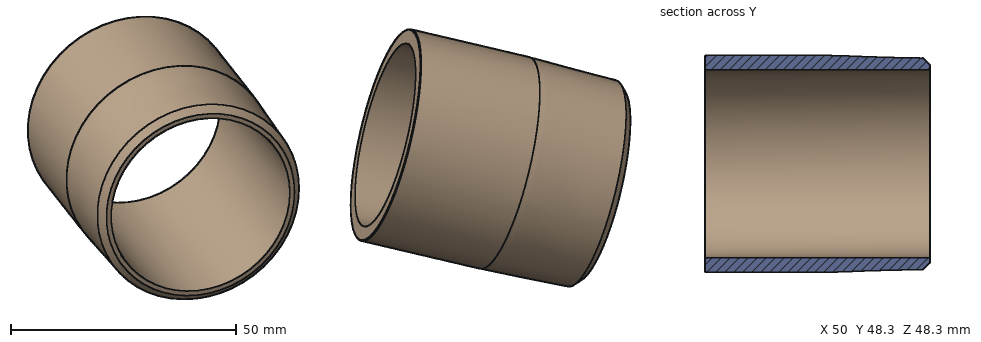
import cadquery as cq

length = 50.0
outer_diameter = 48.3
bore_diameter = 41.7
edge_break = 0.2

plain_length = 28.0
band_length = 1.4
band_diameter = 48.2
taper_end_diameter = 47.1
tip_chamfer = 1.6

outer_radius = outer_diameter / 2
bore_radius = bore_diameter / 2
band_radius = band_diameter / 2
taper_end_radius = taper_end_diameter / 2
taper_start = plain_length + band_length
taper_end = length - tip_chamfer

wall_section = (
    cq.Workplane("XY")
    .moveTo(0, bore_radius)
    .lineTo(0, outer_radius - edge_break)
    .lineTo(edge_break, outer_radius)
    .lineTo(plain_length, outer_radius)
    .lineTo(plain_length, band_radius)
    .lineTo(taper_start, band_radius)
    .lineTo(taper_end, taper_end_radius)
    .lineTo(length, taper_end_radius - tip_chamfer)
    .lineTo(length, bore_radius)
    .close()
)

result = wall_section.revolve(360, (0, 0, 0), (1, 0, 0))